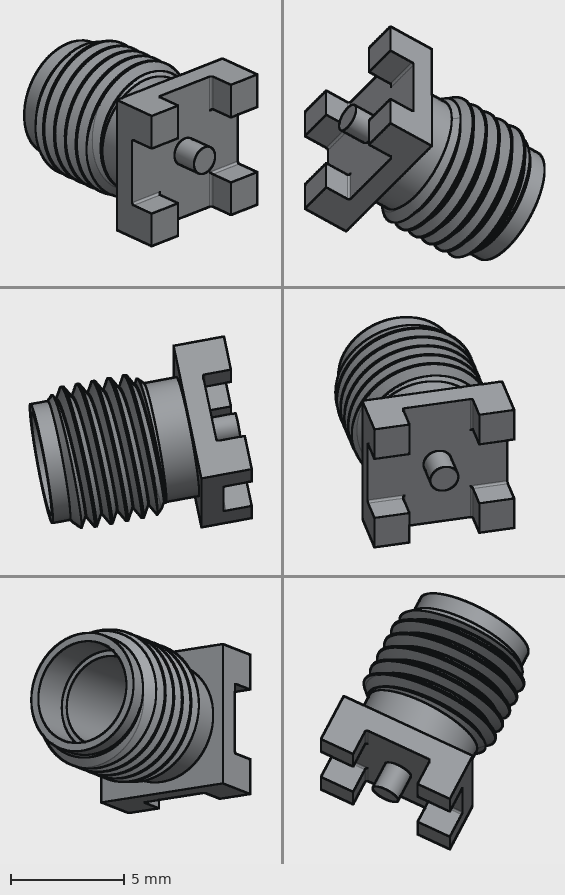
import cadquery as cq
import math


total_length = 8.84
flange_size = 6.35
flange_front = 6.57

barrel_radius = 5.35 / 2
mouth_radius = 4.6 / 2
mouth_depth = 1.93
bore_radius = 4.08 / 2
bore_end = flange_front

leg_length = 1.27
leg_width = 1.59
slot_corner_radius = 0.1
slot_floor = total_length - leg_length
slot_width = flange_size - 2 * leg_width

pin_radius = 1.27 / 2

thread_radius = flange_size / 2
thread_pitch = 25.4 / 36
thread_start = 0.78
thread_end = 5.10
thread_depth = thread_radius - barrel_radius
flank_slope = math.tan(math.radians(30))
crest_half_width = thread_pitch / 16
first_crest = 1.29
ridge_lead_turns = 2
ridge_turns = 8
ridge_overlap = 0.03
envelope_clearance = 0.3


def make_barrel():
    """Plain cylinder running from the mating end to the flange."""
    return cq.Workplane("YZ").circle(barrel_radius).extrude(flange_front)


def make_flange():
    """Square flange with crossed slots that leave four corner legs."""
    flange = (
        cq.Workplane("YZ")
        .workplane(offset=flange_front)
        .rect(flange_size, flange_size)
        .extrude(total_length - flange_front)
    )
    slot = (
        cq.Workplane("XY")
        .box(leg_length, slot_width, flange_size)
        .edges("<X and |Z")
        .fillet(slot_corner_radius)
        .translate((slot_floor + leg_length / 2, 0, 0))
    )
    crossing_slot = slot.rotate((0, 0, 0), (1, 0, 0), 90)
    return flange.cut(slot).cut(crossing_slot)


def make_pin():
    """Centre contact standing on the slot floor, flush with the leg tips."""
    return cq.Workplane("YZ").workplane(offset=slot_floor).circle(pin_radius).extrude(leg_length)


def make_thread():
    """Right-hand helical ridge, trimmed at both ends by 45 degree cones."""
    inner_radius = barrel_radius - ridge_overlap
    root_half_width = crest_half_width + (thread_depth + ridge_overlap) * flank_slope

    helix = cq.Wire.makeHelix(thread_pitch, ridge_turns * thread_pitch, barrel_radius)
    ridge = (
        cq.Workplane("XZ")
        .moveTo(inner_radius, -root_half_width)
        .lineTo(thread_radius, -crest_half_width)
        .lineTo(thread_radius, crest_half_width)
        .lineTo(inner_radius, root_half_width)
        .close()
        .sweep(cq.Workplane(helix), isFrenet=True)
        .rotate((0, 0, 0), (0, 1, 0), 90)
        .translate((first_crest - ridge_lead_turns * thread_pitch, 0, 0))
    )

    envelope_radius = thread_radius + envelope_clearance
    cone_rise = envelope_radius - barrel_radius
    envelope = (
        cq.Workplane("XY")
        .moveTo(thread_start - barrel_radius, 0)
        .lineTo(thread_start + cone_rise, envelope_radius)
        .lineTo(thread_end - cone_rise, envelope_radius)
        .lineTo(thread_end + barrel_radius, 0)
        .close()
        .revolve(360, (0, 0, 0), (1, 0, 0))
    )
    return ridge.intersect(envelope)


def make_bore():
    """Wide mouth followed by a narrower blind bore."""
    mouth = cq.Workplane("YZ").circle(mouth_radius).extrude(mouth_depth)
    bore = cq.Workplane("YZ").circle(bore_radius).extrude(bore_end)
    return mouth.union(bore)


body = make_barrel().union(make_thread())
body = body.union(make_flange()).union(make_pin())
result = body.cut(make_bore())